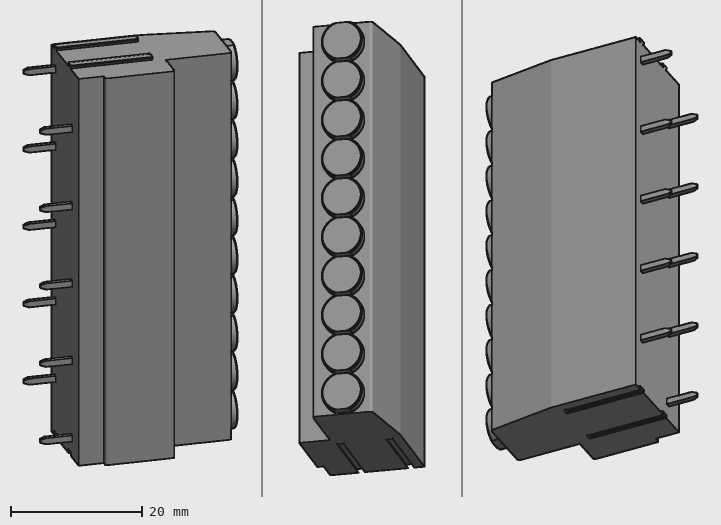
import cadquery as cq

POLE_COUNT = 10
PITCH = 6.35
BODY_HEIGHT = POLE_COUNT * PITCH

BODY_WIDTH = 15.85
BODY_DEPTH = 25.5
SHOULDER_Y = 15.0
SLOPE_START_Y = 14.5
TOWER_LEFT_X = 1.6
TOWER_RIGHT_X = 11.0
TOWER_FILLET = 0.5
LIP_OVERHANG = 1.0
LIP_Y = 4.0
LIP_FILLET = 0.25

PIN_LENGTH = 5.0
PIN_WIDTH = 0.8
PIN_THICKNESS = 1.0
PIN_TIP_LENGTH = 0.8
PIN_TIP_SCALE = 0.5
PIN_ROWS_X = (11.0, 2.0)

SCREW_X = 6.0
SCREW_DIAMETER = 6.4
SCREW_FLAT_WIDTH = 5.8
SCREW_HEIGHT = 1.5
SCREW_CHAMFER = 0.2

RAILS_X = (2.1, 9.9)
RAIL_LENGTH = 13.0
RAIL_HEIGHT = 0.6
RAIL_WIDTH = 1.5
RAIL_NECK_WIDTH = 1.0
RAIL_FLANGE_THICKNESS = 0.15


def make_housing():
    """Extrude the stepped housing profile over all poles."""
    lip_x = BODY_WIDTH - LIP_OVERHANG
    profile = [
        (0, 0),
        (lip_x, 0),
        (lip_x, LIP_Y),
        (BODY_WIDTH, LIP_Y),
        (BODY_WIDTH, SHOULDER_Y),
        (TOWER_RIGHT_X, SHOULDER_Y),
        (TOWER_RIGHT_X, BODY_DEPTH),
        (TOWER_LEFT_X, BODY_DEPTH),
        (0, SLOPE_START_Y),
    ]
    housing = cq.Workplane("XY").polyline(profile).close().extrude(BODY_HEIGHT)
    housing = housing.edges("|Z").edges(">X").fillet(LIP_FILLET)
    return housing.edges("|Z").edges(">Y").fillet(TOWER_FILLET)


def make_dovetail(center_x, base_z):
    """Dovetail bar along Y, flaring out from base_z to a straight-sided flange."""
    half_neck = RAIL_NECK_WIDTH / 2
    half_width = RAIL_WIDTH / 2
    top_z = base_z + RAIL_HEIGHT
    slope_end_z = top_z - RAIL_FLANGE_THICKNESS
    section = [
        (center_x - half_neck, base_z),
        (center_x + half_neck, base_z),
        (center_x + half_width, slope_end_z),
        (center_x + half_width, top_z),
        (center_x - half_width, top_z),
        (center_x - half_width, slope_end_z),
    ]
    return cq.Workplane("XZ").polyline(section).close().extrude(-RAIL_LENGTH)


def make_pin(center_x, center_z):
    """Rectangular pin below the housing with a tapered tip."""
    shank_length = PIN_LENGTH - PIN_TIP_LENGTH
    shank = (
        cq.Workplane("XZ", origin=(center_x, 0, center_z))
        .rect(PIN_WIDTH, PIN_THICKNESS)
        .extrude(shank_length)
    )
    tip = (
        cq.Workplane("XZ", origin=(center_x, -shank_length, center_z))
        .rect(PIN_WIDTH, PIN_THICKNESS)
        .workplane(offset=PIN_TIP_LENGTH)
        .rect(PIN_WIDTH * PIN_TIP_SCALE, PIN_THICKNESS * PIN_TIP_SCALE)
        .loft(ruled=True)
    )
    return shank.union(tip)


def make_screw(center_z):
    """Screw head on top of the tower with two flats facing +Z and -Z."""
    head = (
        cq.Workplane("XZ", origin=(SCREW_X, BODY_DEPTH, center_z))
        .circle(SCREW_DIAMETER / 2)
        .extrude(-SCREW_HEIGHT)
        .faces(">Y")
        .chamfer(SCREW_CHAMFER)
    )
    flats = (
        cq.Workplane("XZ", origin=(SCREW_X, BODY_DEPTH, center_z))
        .rect(SCREW_DIAMETER, SCREW_FLAT_WIDTH)
        .extrude(-SCREW_HEIGHT)
    )
    return head.intersect(flats)


result = make_housing()

for rail_x in RAILS_X:
    result = result.cut(make_dovetail(rail_x, 0))
    result = result.union(make_dovetail(rail_x, BODY_HEIGHT))

for pole in range(POLE_COUNT):
    pole_z = (pole + 0.5) * PITCH
    pin_x = PIN_ROWS_X[pole % len(PIN_ROWS_X)]
    result = result.union(make_pin(pin_x, pole_z))
    result = result.union(make_screw(pole_z))